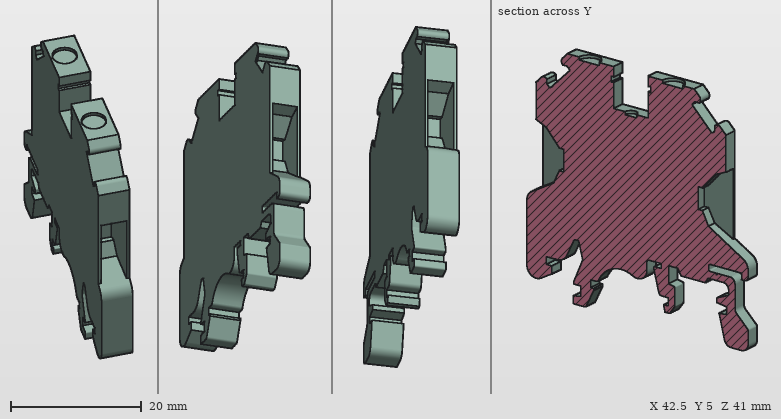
import cadquery as cq
import math


THICKNESS = 5.0
HEIGHT = 41.0
LEFT_END = -22.5
RIGHT_END = 20.0
BODY_HALF_WIDTH = 18.23

SHOULDER_Z = 17.1
SHOULDER_ANGLE = math.radians(30)
SHOULDER_RADIUS = 1.95

WINDOW_HALF_WIDTH = 3.27
WINDOW_FLOOR_Z = 34.1
NICHE_DEPTH = 0.48
NICHE_BOTTOM_Z = 38.37
NICHE_TOP_Z = 39.25

TOP_FLAT_END = 12.15
UPPER_LUG_RADIUS = 0.75
SLOT_START = (12.13, 37.92)
SLOT_LENGTH_X = 2.99
LOWER_LUG_X = 16.63
LOWER_LUG_RADIUS = 0.8
UNDERCUT_REACH = 0.4
UNDERCUT_LIP = 0.53
BACK_WEB = 0.25

CEILING_Z = 10.63
LEDGE_Z = 5.33
ARCH_FOOT_Z = 4.74
SMALL_RADIUS = 0.25

SCREW_SPACING = 16.0
SCREW_DIAMETER = 3.8
CENTRE_HOLE_DIAMETER = 2.11
HOLE_DEPTH = 0.5
HOLE_Y = 2.25

FUNNEL_TOP_Z = 28.7
FUNNEL_DEPTH = 5.3
FUNNEL_FLOOR_DEPTH = 3.35
FUNNEL_ROOF_DEPTH = 2.0
FUNNEL_THROAT_DEPTH = 4.5
FUNNEL_ROOF_Z = 27.8
FUNNEL_END_BOTTOM_Z = 21.35
FUNNEL_END_TOP_Z = 25.0
FUNNEL_MOUTH_Y = (0.45, 4.5)
FUNNEL_END_Y = (0.82, 3.63)


def rounded_outline(corners):
    """Closed XZ wire through (x, z) or (x, z, radius) corners, each radius a tangent arc."""
    path = None
    count = len(corners)
    for i, corner in enumerate(corners):
        point = cq.Vector(corner[0], corner[1])
        radius = corner[2] if len(corner) > 2 else 0
        to_last = (cq.Vector(*corners[i - 1][:2]) - point).normalized()
        to_next = (cq.Vector(*corners[(i + 1) % count][:2]) - point).normalized()
        half_angle = to_last.getAngle(to_next) / 2
        setback = radius / math.tan(half_angle)
        start = (point + to_last * setback).toTuple()[:2]
        if path is None:
            path = cq.Workplane("XZ").moveTo(*start)
        else:
            path = path.lineTo(*start)
        if radius:
            bisector = (to_last + to_next).normalized()
            middle = point + bisector * (radius / math.sin(half_angle) - radius)
            end = point + to_next * setback
            path = path.threePointArc(middle.toTuple()[:2], end.toTuple()[:2])
    return path.close()


def prism(corners, depth):
    """Solid from the front face Y = 0 back to Y = depth."""
    return rounded_outline(corners).extrude(-depth)


def upper_right():
    """Corners from the window floor round to the top of the right shoulder."""
    niche_x = WINDOW_HALF_WIDTH + NICHE_DEPTH
    slot_x, slot_z = SLOT_START
    slot_end = (slot_x + SLOT_LENGTH_X, slot_z - SLOT_LENGTH_X)
    upper_lug_x = (HEIGHT + TOP_FLAT_END + slot_x - slot_z) / 2
    lower_lug_top = slot_end[1] + LOWER_LUG_X - slot_end[0]
    return [
        (WINDOW_HALF_WIDTH, WINDOW_FLOOR_Z),
        (WINDOW_HALF_WIDTH, NICHE_BOTTOM_Z),
        (niche_x, NICHE_BOTTOM_Z),
        (niche_x, NICHE_TOP_Z),
        (WINDOW_HALF_WIDTH, NICHE_TOP_Z),
        (WINDOW_HALF_WIDTH, HEIGHT),
        (TOP_FLAT_END, HEIGHT),
        (upper_lug_x, HEIGHT + TOP_FLAT_END - upper_lug_x, UPPER_LUG_RADIUS),
        SLOT_START,
        slot_end,
        (LOWER_LUG_X, lower_lug_top, LOWER_LUG_RADIUS),
        (BODY_HALF_WIDTH, lower_lug_top - (BODY_HALF_WIDTH - LOWER_LUG_X)),
        (BODY_HALF_WIDTH, SHOULDER_Z),
    ]


def shoulder_z(end_x):
    """Height at which the sloping shoulder reaches end_x."""
    return SHOULDER_Z - (abs(end_x) - BODY_HALF_WIDTH) * math.tan(SHOULDER_ANGLE)


def right_hook():
    """Right shoulder, end hook and the throat behind it."""
    hook_tip = (15.09, 3.97)
    hook_radius = 1.87
    notch_x = 16.16
    throat_floor_z = 6.52
    throat_radius = 2.16
    hook_bottom_z = hook_tip[1] - (RIGHT_END - hook_tip[0]) * math.tan(SHOULDER_ANGLE)
    return [
        (RIGHT_END, shoulder_z(RIGHT_END), SHOULDER_RADIUS),
        (RIGHT_END, hook_bottom_z, hook_radius),
        hook_tip,
        (hook_tip[0], LEDGE_Z),
        (notch_x, LEDGE_Z),
        (notch_x, throat_floor_z),
        (12.8, throat_floor_z, throat_radius),
        (10.83, CEILING_Z, SMALL_RADIUS),
        (10.06, CEILING_Z, SMALL_RADIUS),
    ]


def right_foot():
    """Notched foot right of the arch."""
    outer_notch_x = 9.64
    outer_notch_top_z = 3.26
    inner_notch_bottom_z = 3.52
    inner_notch_x = 7.69
    toe_x = 11.12
    heel_x = 7.09
    return [
        (9.29, 7.67, 0.4),
        (11.18, outer_notch_top_z, SMALL_RADIUS),
        (outer_notch_x, outer_notch_top_z),
        (outer_notch_x, 1.63),
        (toe_x, 1.39, SMALL_RADIUS),
        (toe_x, 0, SMALL_RADIUS),
        (8.63, 0, 0.5),
        (heel_x, 3.17),
        (heel_x, inner_notch_bottom_z),
        (inner_notch_x, inner_notch_bottom_z),
        (inner_notch_x, ARCH_FOOT_Z),
    ]


def arch():
    """Round arch and the rounded lobe left of it, nearly meeting end to end."""
    arch_radius = 4.75
    lobe_radius = 1.88
    lobe_x = -3.12
    return [
        (6.31, ARCH_FOOT_Z, 0.6),
        (4.07, 9.52, arch_radius),
        (lobe_x, 5.94, lobe_radius),
        (lobe_x, CEILING_Z, SMALL_RADIUS),
    ]


def middle_hook():
    """Barbed hook hanging from the ceiling."""
    stem_right_x = -5.76
    stem_left_x = -7.24
    barb_z = 9.92
    back_x = -8.43
    tip_notch_x = -7.06
    tip_notch_z = 4.06
    tip_z = 2.81
    return [
        (stem_right_x, CEILING_Z),
        (stem_right_x, barb_z),
        (-4.22, barb_z, 0.35),
        (-5.4, LEDGE_Z, 0.7),
        (tip_notch_x, LEDGE_Z),
        (tip_notch_x, tip_notch_z),
        (-6.18, tip_notch_z, 0.15),
        (-6.5, tip_z),
        (-7.42, tip_z, 0.3),
        (back_x, 4.2, 0.4),
        (back_x, 7.49, SMALL_RADIUS),
        (stem_left_x, 7.73),
        (stem_left_x, CEILING_Z),
    ]


def left_foot():
    """Low ceiling block, spring foot, release slot and left shoulder."""
    block_z = 9.51
    spring_ceiling_z = 10.37
    spring_top_z = 11.67
    slot_top_z = 12.74
    slot_end_x = -14.95
    spring_left_x = -19.98
    spring_right_x = -18.65
    spring_bend_radius = 1.0
    finger_x = -16.43
    lip_x = -21.15
    return [
        (-8.9, CEILING_Z),
        (-9.61, block_z),
        (-14.23, block_z),
        (-14.77, spring_ceiling_z),
        (spring_right_x, spring_ceiling_z, 0.95),
        (spring_right_x, 8.56),
        (finger_x, 7.61, 0.2),
        (finger_x, 6.78),
        (-18.35, 6.49),
        (-18.23, LEDGE_Z),
        (-16.84, 5.15),
        (-18.11, 0, 1.4),
        (LEFT_END, 0, 1.4),
        (LEFT_END, 3.75, 0.4),
        (spring_left_x, 6.2, spring_bend_radius),
        (spring_left_x, spring_top_z, spring_bend_radius),
        (slot_end_x, spring_top_z, SMALL_RADIUS),
        (slot_end_x, slot_top_z, SMALL_RADIUS),
        (lip_x, slot_top_z),
        (lip_x, spring_top_z),
        (LEFT_END, spring_top_z, 0.75),
        (LEFT_END, shoulder_z(LEFT_END), SHOULDER_RADIUS),
    ]


def mirrored(corners):
    """The same corners reflected in X = 0, in reverse order."""
    return [(-corner[0], *corner[1:]) for corner in reversed(corners)]


def housing():
    """Solid plate with the whole outline, before any recess is cut."""
    upper = upper_right()
    lower = right_hook() + right_foot() + arch() + middle_hook() + left_foot()
    return prism(upper + lower + mirrored(upper), THICKNESS)


def on_both_sides(solid):
    """The solid together with its reflection in X = 0."""
    return solid.union(solid.mirror("YZ"))


def marker_undercuts():
    """Undercuts at both ends of each marker slot, leaving a thin web at the back."""
    start_x, start_z = SLOT_START
    end_x = start_x + SLOT_LENGTH_X
    end_z = start_z - SLOT_LENGTH_X
    lip = UNDERCUT_REACH + UNDERCUT_LIP
    upper = [
        SLOT_START,
        (start_x - UNDERCUT_REACH, start_z + UNDERCUT_REACH),
        (start_x - UNDERCUT_REACH + UNDERCUT_LIP, start_z + lip),
        (start_x + lip, start_z + lip),
    ]
    lower = [
        (end_x, end_z),
        (end_x + UNDERCUT_REACH, end_z - UNDERCUT_REACH),
        (end_x + lip, end_z - UNDERCUT_REACH + UNDERCUT_LIP),
        (end_x + lip, end_z + lip),
    ]
    depth = THICKNESS - BACK_WEB
    return on_both_sides(prism(upper, depth).union(prism(lower, depth)))


def wire_funnels():
    """Tapered wire entry in each side of the body, its floor continuing the shoulder slope."""
    mouth_x = -BODY_HALF_WIDTH
    throat_x = mouth_x + FUNNEL_THROAT_DEPTH
    end_x = mouth_x + FUNNEL_DEPTH
    floor_end_z = SHOULDER_Z + FUNNEL_FLOOR_DEPTH * math.tan(SHOULDER_ANGLE)
    side = prism(
        [
            (mouth_x, SHOULDER_Z),
            (mouth_x + FUNNEL_FLOOR_DEPTH, floor_end_z),
            (throat_x, FUNNEL_END_BOTTOM_Z),
            (end_x, FUNNEL_END_BOTTOM_Z),
            (end_x, FUNNEL_END_TOP_Z),
            (throat_x, FUNNEL_END_TOP_Z),
            (mouth_x + FUNNEL_ROOF_DEPTH, FUNNEL_ROOF_Z),
            (mouth_x, FUNNEL_TOP_Z),
        ],
        THICKNESS,
    )
    plan = (
        cq.Workplane("XY")
        .polyline(
            [
                (mouth_x, FUNNEL_MOUTH_Y[0]),
                (end_x, FUNNEL_END_Y[0]),
                (end_x, FUNNEL_END_Y[1]),
                (mouth_x, FUNNEL_MOUTH_Y[1]),
            ]
        )
        .close()
        .extrude(HEIGHT)
    )
    return on_both_sides(side.intersect(plan))


def blind_hole(x, top_z, diameter):
    """Shallow vertical hole sunk from top_z."""
    return (
        cq.Workplane("XY", origin=(x, HOLE_Y, top_z - HOLE_DEPTH))
        .circle(diameter / 2)
        .extrude(HOLE_DEPTH)
    )


result = housing().cut(marker_undercuts()).cut(wire_funnels())
for screw_x in (-SCREW_SPACING / 2, SCREW_SPACING / 2):
    result = result.cut(blind_hole(screw_x, HEIGHT, SCREW_DIAMETER))
result = result.cut(blind_hole(0, WINDOW_FLOOR_Z, CENTRE_HOLE_DIAMETER))